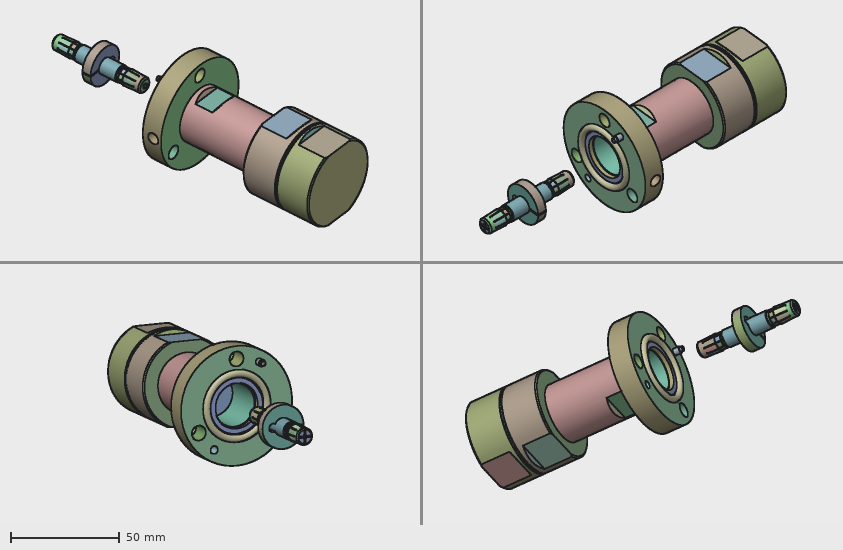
import cadquery as cq
import math


BULLET_LENGTH = 52.5
BULLET_MIDDLE = BULLET_LENGTH / 2
SHAFT_RADIUS = 4.4
DISC_RADIUS = 10.5
DISC_THICKNESS = 4.9
NOSE_RADIUS = 3.4
NOSE_CHAMFER = 0.8
BARREL_RADIUS = 4.0
SLIT_START = 3.5
BARREL_END = 13.0
NECK_RADIUS = 3.5
NECK_END = 14.3
RIDGE_RADIUS = 4.4
RIDGE_X = 10.0
SLIT_COUNT = 8
SLIT_WIDTH = 0.3
SLIT_DEPTH = 0.8
SOCKET_RADIUS = 0.8
SOCKET_DEPTH = 1.7
CROSS_WIDTH = 0.7
CROSS_LENGTH = 5.7
CROSS_DEPTH = 0.8
STUB_RADIUS = 1.3
STUB_LENGTH = 0.3
DISC_SLIT_WIDTH = 0.7
DISC_HOLE_RADIUS = 2.0
DISC_HOLE_OFFSET = 5.0

TOTAL_LENGTH = 167.9
FLANGE_START = 74.4
FLANGE_END = 85.3
FLANGE_RADIUS = 28.29
STEM_RADIUS = 14.6
COUPLING_START = 128.8
COUPLING_RADIUS = 22.08
COUPLING_CHAMFER = 0.7
GROOVE_START = 148.0
GROOVE_WIDTH = 1.2
GROOVE_DEPTH = 0.5

BORE_RADIUS = 10.2
BORE_DEPTH = BULLET_MIDDLE
RECESS_RADIUS = 10.7
RECESS_DEPTH = DISC_THICKNESS / 2

SEAL_RADIUS = 15.36
SEAL_SECTION_RADIUS = 1.76
SEAL_PROJECTION = 2.0
SEAL_GROOVE_INNER = 13.3
SEAL_GROOVE_DEPTH = 1.2

BOLT_COUNT = 3
FIRST_BOLT_ANGLE = 90.0
BOLT_CIRCLE_RADIUS = 22.2
BOLT_HOLE_RADIUS = 3.5
DOWEL_CIRCLE_RADIUS = 22.8
DOWEL_ANGLE = 120.0
DOWEL_RADIUS = 1.7
DOWEL_STEP = 3.2
DOWEL_TIP_RADIUS = 1.2
DOWEL_TIP_LENGTH = 1.5
DOWEL_HOLE_RADIUS = 1.8

SCREW_HOLE_RADIUS = 3.0
SCREW_HOLE_X = 80.6
SCREW_HOLE_DEPTH = 10.0
DRILL_POINT_HALF_ANGLE = 59.0

STEM_FLAT_HEIGHT = 12.3
STEM_FLAT_START = 89.2
STEM_FLAT_END = 99.2
COUPLING_FLAT_HEIGHT = 20.06
COUPLING_FLAT_END = 144.4
COUPLING_FLAT_RESTART = 151.8
FLANK_ANGLE = 30.0
CUT_MARGIN = 1.7


def revolve_about_x(outline):
    """Solid of revolution from (x, radius) points."""
    return cq.Workplane("XY").polyline(outline).close().revolve(360, (0, 0, 0), (1, 0, 0))


def rod_along_x(start, length, radius, y=0.0, z=0.0):
    return cq.Workplane("YZ", origin=(start, y, z)).circle(radius).extrude(length)


def box_between(x_range, y_range, z_range):
    corner = (x_range[0], y_range[0], z_range[0])
    return cq.Workplane("XY").box(
        x_range[1] - x_range[0],
        y_range[1] - y_range[0],
        z_range[1] - z_range[0],
        centered=False,
    ).translate(corner)


def on_circle(radius, angle):
    """(y, z) of a point on a circle about the X axis, angle from +Y towards +Z."""
    return radius * math.cos(math.radians(angle)), radius * math.sin(math.radians(angle))


def spring_slits():
    """Lengthwise slits between the spring fingers at the left end."""
    slit = box_between(
        (SLIT_START, BARREL_END),
        (-SLIT_WIDTH / 2, SLIT_WIDTH / 2),
        (BARREL_RADIUS - SLIT_DEPTH, RIDGE_RADIUS + CUT_MARGIN),
    )
    slits = slit
    for index in range(1, SLIT_COUNT):
        angle = index * 360 / SLIT_COUNT
        slits = slits.union(slit.rotate((0, 0, 0), (1, 0, 0), angle))
    return slits


def bullet_half():
    """Left half of the bullet, without the disc."""
    half = revolve_about_x([
        (0, 0),
        (0, NOSE_RADIUS),
        (NOSE_CHAMFER, BARREL_RADIUS),
        (SLIT_START, BARREL_RADIUS),
        (RIDGE_X, RIDGE_RADIUS),
        (RIDGE_X, BARREL_RADIUS),
        (BARREL_END, BARREL_RADIUS),
        (BARREL_END, NECK_RADIUS),
        (NECK_END, NECK_RADIUS),
        (NECK_END, SHAFT_RADIUS),
        (BULLET_MIDDLE, SHAFT_RADIUS),
        (BULLET_MIDDLE, 0),
    ])
    return half.cut(spring_slits())


def bullet_disc():
    """Insulating disc with a hole on +Y and a slit on -Y."""
    start = BULLET_MIDDLE - DISC_THICKNESS / 2
    end = start + DISC_THICKNESS
    disc = rod_along_x(start, DISC_THICKNESS, DISC_RADIUS)
    hole = rod_along_x(start, DISC_THICKNESS, DISC_HOLE_RADIUS, y=DISC_HOLE_OFFSET)
    slit = box_between(
        (start, end),
        (-DISC_RADIUS - CUT_MARGIN, 0),
        (-DISC_SLIT_WIDTH / 2, DISC_SLIT_WIDTH / 2),
    )
    return disc.cut(hole).cut(slit)


def nose_recess():
    """Round socket and crossed slots in the left end face."""
    recess = rod_along_x(0, SOCKET_DEPTH, SOCKET_RADIUS)
    half_length = CROSS_LENGTH / 2
    half_width = CROSS_WIDTH / 2
    slot = box_between((0, CROSS_DEPTH), (-half_length, half_length), (-half_width, half_width))
    return recess.union(slot).union(slot.rotate((0, 0, 0), (1, 0, 0), 90))


def make_bullet():
    left = bullet_half()
    right = left.mirror("YZ", (BULLET_MIDDLE, 0, 0))
    left = left.cut(nose_recess())
    stub = rod_along_x(BULLET_LENGTH, STUB_LENGTH, STUB_RADIUS)
    return bullet_disc().union(left).union(right).union(stub)


def housing_blank():
    """Flange, stem and grooved coupling, turned from one piece."""
    groove_end = GROOVE_START + GROOVE_WIDTH
    groove_radius = COUPLING_RADIUS - GROOVE_DEPTH
    chamfer_radius = COUPLING_RADIUS - COUPLING_CHAMFER
    return revolve_about_x([
        (FLANGE_START, 0),
        (FLANGE_START, FLANGE_RADIUS),
        (FLANGE_END, FLANGE_RADIUS),
        (FLANGE_END, STEM_RADIUS),
        (COUPLING_START, STEM_RADIUS),
        (COUPLING_START, chamfer_radius),
        (COUPLING_START + COUPLING_CHAMFER, COUPLING_RADIUS),
        (GROOVE_START, COUPLING_RADIUS),
        (GROOVE_START, groove_radius),
        (groove_end, groove_radius),
        (groove_end, COUPLING_RADIUS),
        (TOTAL_LENGTH - COUPLING_CHAMFER, COUPLING_RADIUS),
        (TOTAL_LENGTH, chamfer_radius),
        (TOTAL_LENGTH, 0),
    ])


def wrench_flats(start, end, height, body_radius, start_sloped=True, end_sloped=True):
    """Cutter for a pair of flats at +Z and -Z, with sloped flanks where asked."""
    top = body_radius + CUT_MARGIN
    run = (top - height) * math.tan(math.radians(FLANK_ANGLE))
    outline = [
        (start, height),
        (end, height),
        (end + run * end_sloped, top),
        (start - run * start_sloped, top),
    ]
    upper = cq.Workplane("XZ").polyline(outline).close().extrude(body_radius, both=True)
    return upper.union(upper.mirror("XY"))


def housing_flats():
    stem = wrench_flats(STEM_FLAT_START, STEM_FLAT_END, STEM_FLAT_HEIGHT, STEM_RADIUS)
    left = wrench_flats(
        COUPLING_START, COUPLING_FLAT_END, COUPLING_FLAT_HEIGHT, COUPLING_RADIUS, start_sloped=False
    )
    right = wrench_flats(
        COUPLING_FLAT_RESTART, TOTAL_LENGTH, COUPLING_FLAT_HEIGHT, COUPLING_RADIUS, end_sloped=False
    )
    return stem, left, right


def seal_groove():
    outer = SEAL_RADIUS + SEAL_SECTION_RADIUS
    ring = rod_along_x(FLANGE_START, SEAL_GROOVE_DEPTH, outer)
    return ring.cut(rod_along_x(FLANGE_START, SEAL_GROOVE_DEPTH, SEAL_GROOVE_INNER))


def seal_ring():
    """Round-section ring seated in the groove of the flange face."""
    centre_x = FLANGE_START - SEAL_PROJECTION + SEAL_SECTION_RADIUS
    section = cq.Workplane("XY").center(centre_x, SEAL_RADIUS).circle(SEAL_SECTION_RADIUS)
    return section.revolve(360, (-centre_x, -SEAL_RADIUS, 0), (1.7 - centre_x, -SEAL_RADIUS, 0))


def stepped_bore():
    recess = rod_along_x(FLANGE_START, RECESS_DEPTH, RECESS_RADIUS)
    return recess.union(rod_along_x(FLANGE_START, BORE_DEPTH, BORE_RADIUS))


def flange_hole(radius, circle_radius, angle):
    y, z = on_circle(circle_radius, angle)
    return rod_along_x(FLANGE_START, FLANGE_END - FLANGE_START, radius, y, z)


def locating_dowel():
    y, z = on_circle(DOWEL_CIRCLE_RADIUS, DOWEL_ANGLE)
    step_x = FLANGE_START - DOWEL_STEP
    thick = rod_along_x(step_x, DOWEL_STEP, DOWEL_RADIUS, y, z)
    tip = rod_along_x(step_x - DOWEL_TIP_LENGTH, DOWEL_TIP_LENGTH, DOWEL_TIP_RADIUS, y, z)
    return thick.union(tip)


def screw_hole():
    """Radial blind hole from -Y into the flange rim, with a drill point."""
    bottom_y = SCREW_HOLE_DEPTH - FLANGE_RADIUS
    point_y = bottom_y + SCREW_HOLE_RADIUS / math.tan(math.radians(DRILL_POINT_HALF_ANGLE))
    outline = [
        (0, -FLANGE_RADIUS - CUT_MARGIN),
        (SCREW_HOLE_RADIUS, -FLANGE_RADIUS - CUT_MARGIN),
        (SCREW_HOLE_RADIUS, bottom_y),
        (0, point_y),
    ]
    hole = cq.Workplane("XY").polyline(outline).close().revolve(360, (0, 0, 0), (0, 1, 0))
    return hole.translate((SCREW_HOLE_X, 0, 0))


def make_housing():
    housing = housing_blank()
    for flats in housing_flats():
        housing = housing.cut(flats)
    housing = housing.cut(seal_groove()).union(seal_ring())
    housing = housing.cut(stepped_bore())
    for index in range(BOLT_COUNT):
        angle = FIRST_BOLT_ANGLE + index * 360 / BOLT_COUNT
        housing = housing.cut(flange_hole(BOLT_HOLE_RADIUS, BOLT_CIRCLE_RADIUS, angle))
    opposite = DOWEL_ANGLE + 180
    housing = housing.cut(flange_hole(DOWEL_HOLE_RADIUS, DOWEL_CIRCLE_RADIUS, opposite))
    housing = housing.cut(screw_hole())
    return housing.union(locating_dowel())


bullet = make_bullet()
housing = make_housing()
result = cq.Compound.makeCompound([bullet.val(), housing.val()])